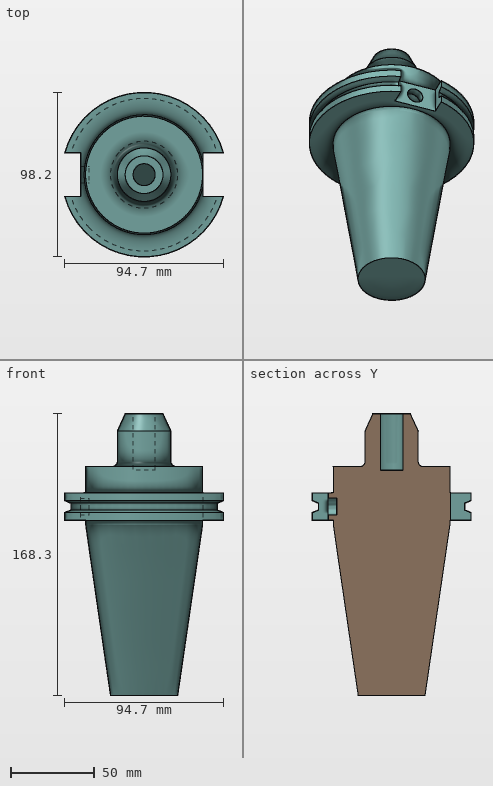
import cadquery as cq

total_height = 168.3
taper_top = 101.8
flange_bottom = 104.7
flange_top = 121.0
collar_top = 136.8
nose_cone_height = 10.3
step_height = 0.3

taper_large_diameter = 69.8
taper_large_radius = taper_large_diameter / 2
taper_rate = 7 / 24
taper_small_radius = taper_large_radius - taper_top * taper_rate / 2
flange_radius = 49.1
step_radius = 35.8
collar_radius = taper_large_radius
nose_radius = 16.0
nose_tip_radius = 11.3
nose_fillet = 3.0

groove_root_radius = 45.6
groove_mouth_width = 7.0
groove_root_width = 4.0
flange_middle = (flange_bottom + flange_top) / 2

slot_width = 25.9
left_slot_floor = 37.9
right_slot_floor = 35.2

bore_radius = 6.5
bore_depth = 33.7
slot_hole_radius = 4.9
slot_hole_depth = 5.0


def turned_body():
    """Revolve the taper, flange, collar and nose about Z."""
    step_top = flange_top + step_height
    fillet_top = collar_top + nose_fillet
    mouth = groove_mouth_width / 2
    root = groove_root_width / 2
    profile = (
        cq.Workplane("XZ")
        .moveTo(0, 0)
        .lineTo(taper_small_radius, 0)
        .lineTo(taper_large_radius, taper_top)
        .lineTo(taper_large_radius, flange_bottom)
        .lineTo(flange_radius, flange_bottom)
        .lineTo(flange_radius, flange_middle - mouth)
        .lineTo(groove_root_radius, flange_middle - root)
        .lineTo(groove_root_radius, flange_middle + root)
        .lineTo(flange_radius, flange_middle + mouth)
        .lineTo(flange_radius, flange_top)
        .lineTo(step_radius, flange_top)
        .lineTo(step_radius, step_top)
        .lineTo(collar_radius, step_top)
        .lineTo(collar_radius, collar_top)
        .lineTo(nose_radius + nose_fillet, collar_top)
        .radiusArc((nose_radius, fillet_top), nose_fillet)
        .lineTo(nose_radius, total_height - nose_cone_height)
        .lineTo(nose_tip_radius, total_height)
        .lineTo(0, total_height)
        .close()
    )
    return profile.revolve(360, (0, 0, 0), (0, 1, 0))


def drive_slot(floor, side):
    """Cutter for a slot through the flange height; side is -1 or +1 along X."""
    depth = flange_radius - floor
    height = flange_top + step_height - flange_bottom
    center_x = side * (floor + depth / 2)
    center_z = flange_bottom + height / 2
    return cq.Workplane("XY", origin=(center_x, 0, center_z)).box(depth, slot_width, height)


def nose_bore():
    return (
        cq.Workplane("XY", origin=(0, 0, total_height - bore_depth))
        .circle(bore_radius)
        .extrude(bore_depth)
    )


def slot_hole():
    """Radial hole into the floor of the slot on the -X side."""
    return (
        cq.Workplane("YZ", origin=(-left_slot_floor, 0, flange_middle))
        .circle(slot_hole_radius)
        .extrude(slot_hole_depth)
    )


result = (
    turned_body()
    .cut(drive_slot(left_slot_floor, -1))
    .cut(drive_slot(right_slot_floor, 1))
    .cut(nose_bore())
    .cut(slot_hole())
)